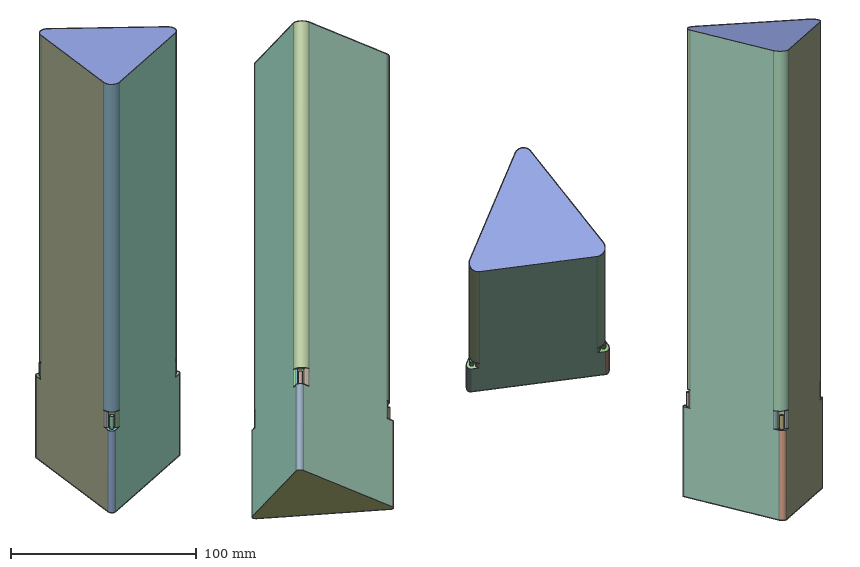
import cadquery as cq
import math

height = 259.7
base_height = 49.9
neck_height = 10.0
side = 81.0
base_corner_radius = 2.3
column_corner_radius = 5.0
neck_corner_cut = 7.5
neck_edge_radius = 1.5
pin_height = 7.8
pin_radius = 1.17
groove_radius = 2.0
pin_inset = 5.5

neck_top = base_height + neck_height
corner_reach = side / math.sqrt(3)
corner_angles = (90, 210, 330)


def triangular_prism(bottom, top):
    """Equilateral prism centred on the Z axis, with a flat facing -Y."""
    corners = [
        (
            corner_reach * math.cos(math.radians(angle)),
            corner_reach * math.sin(math.radians(angle)),
        )
        for angle in corner_angles
    ]
    outline = cq.Workplane("XY").workplane(offset=bottom).polyline(corners).close()
    return outline.extrude(top - bottom)


def corner_cylinders(radius, length):
    """Cylinders rising from the base top on the three pin axes."""
    axis_reach = corner_reach - pin_inset
    return (
        cq.Workplane("XY")
        .workplane(offset=base_height)
        .polarArray(axis_reach, corner_angles[0], 360, len(corner_angles))
        .circle(radius)
        .extrude(length)
    )


base = triangular_prism(0, base_height).edges("|Z").fillet(base_corner_radius)
column = triangular_prism(neck_top, height).edges("|Z").fillet(column_corner_radius)

neck = triangular_prism(base_height, neck_top).edges("|Z").chamfer(neck_corner_cut)
neck = neck.edges("|Z").fillet(neck_edge_radius)
neck = neck.cut(corner_cylinders(groove_radius, neck_height))

pins = corner_cylinders(pin_radius, pin_height)

result = base.union(neck).union(column).union(pins).clean()